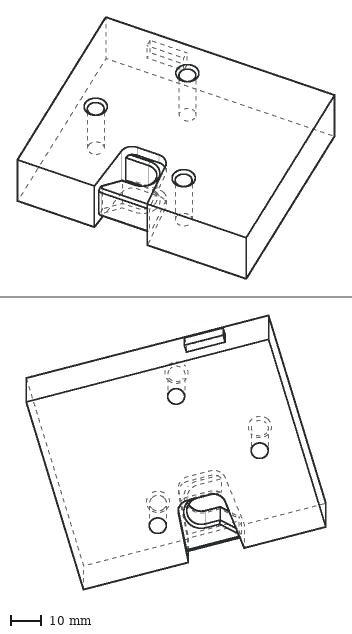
import cadquery as cq
import math

case_width = 82.0
case_depth = 69.0
case_height = 20.0

tab_left = 14.7
tab_width = 13.1
tab_length = 2.55
tab_bottom = 7.05
tab_height = 6.0

hole_diameter = 5.5
countersink_diameter = 7.55
countersink_angle = 90
hole_centers = [(34.4, 57.65), (13.45, 31.8), (52.6, 15.25)]

slot_center_x = 37.1
slot_mouth_width = 18.9
slot_depth = 21.2
slot_draft = 5
slot_corner_radius = 4.0

latch_bottom = 3.1
latch_height = 13.0
latch_front = 2.2
latch_chamfer = 1.0
hook_tip_center_x = 29.1
hook_tip_radius = 1.6
throat_angle = 45
notch_radius = 4.75
notch_center = (38.0, 14.8)
latch_overlap = 4.1


def make_case():
    case = cq.Workplane("XY").box(case_width, case_depth, case_height, centered=False)
    tab = (
        cq.Workplane("XY")
        .box(tab_width, 2 * tab_length, tab_height, centered=False)
        .translate((tab_left, case_depth - tab_length, tab_bottom))
    )
    return case.union(tab)


def make_slot():
    mouth_half = slot_mouth_width / 2
    back_half = mouth_half - slot_depth * math.tan(math.radians(slot_draft))
    return (
        cq.Workplane("XY")
        .polyline([
            (slot_center_x - mouth_half, 0),
            (slot_center_x + mouth_half, 0),
            (slot_center_x + back_half, slot_depth),
            (slot_center_x - back_half, slot_depth),
        ])
        .close()
        .extrude(case_height)
        .edges("|Z and >Y")
        .fillet(slot_corner_radius)
    )


def make_latch():
    center_x, center_y = notch_center
    notch_front = center_y - notch_radius
    notch_back = center_y + notch_radius
    slope = math.radians(throat_angle)
    tip_center_y = latch_front + hook_tip_radius
    tip_leftmost = (hook_tip_center_x - hook_tip_radius, tip_center_y)
    throat_start_x = hook_tip_center_x - hook_tip_radius * math.sin(slope)
    throat_start_y = tip_center_y + hook_tip_radius * math.cos(slope)
    throat_end_x = throat_start_x + (notch_front - throat_start_y) / math.tan(slope)
    left = slot_center_x - slot_mouth_width / 2 - latch_overlap
    right = slot_center_x + slot_mouth_width / 2 + latch_overlap
    back = slot_depth + latch_overlap
    return (
        cq.Workplane("XY", origin=(0, 0, latch_bottom))
        .moveTo(right, latch_front)
        .lineTo(hook_tip_center_x, latch_front)
        .threePointArc(tip_leftmost, (throat_start_x, throat_start_y))
        .lineTo(throat_end_x, notch_front)
        .lineTo(center_x, notch_front)
        .threePointArc((center_x + notch_radius, center_y), (center_x, notch_back))
        .lineTo(left, notch_back)
        .lineTo(left, back)
        .lineTo(right, back)
        .close()
        .extrude(latch_height)
        .faces("<Z or >Z")
        .chamfer(latch_chamfer)
    )


slot = make_slot()
latch_in_slot = make_latch().intersect(slot)

result = (
    make_case()
    .cut(slot)
    .union(latch_in_slot)
    .faces(">Z")
    .workplane(origin=(0, 0, case_height))
    .pushPoints(hole_centers)
    .cskHole(hole_diameter, countersink_diameter, countersink_angle)
)